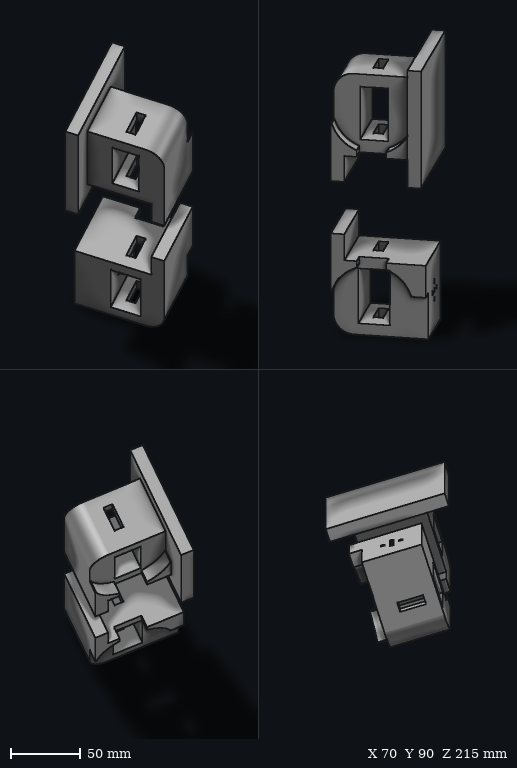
import cadquery as cq

total_height = 215.0
block_length = 70.0
body_width = 45.2
rear_layer = 9.9
block_width = body_width + rear_layer
block_height = 60.0
lip_thickness = 10.0
lip_height = 20.0
corner_radius = 15.0

plate_width = 90.0
plate_height = 89.9
plate_thickness = 10.0
plate_overhang = (plate_width - block_width) / 2
plate_rise = 15.0

recess_x = 40.0
recess_radius = 30.7
recess_axis_depth = 33.8
neck_width = 21.7
rear_layer_height = 24.5

window_x = recess_x
upper_window_length = 20.6
upper_window_height = 40.5
upper_window_offset = 9.7
lower_window_length = 23.2
lower_window_height = 42.1
lower_window_offset = 8.8

slot_length = 7.0
slot_width = 19.5
slot_y = 20.0

hole_diameter = 3.0
hole_spacing = 6.9
hole_y = 22.5
hole_z = 30.0


def make_keyhole_recess():
    """Cutter for the rear layer, in the position of the lower block."""
    axis_z = block_height - recess_axis_depth
    round_part = (
        cq.Workplane("XZ", origin=(recess_x, block_width, axis_z))
        .circle(recess_radius)
        .extrude(rear_layer)
    )
    neck = (
        cq.Workplane("XY")
        .box(neck_width, rear_layer, recess_axis_depth, centered=False)
        .translate((recess_x - neck_width / 2, body_width, axis_z))
    )
    open_stretch = (
        cq.Workplane("XY")
        .box(block_length, rear_layer, block_height - rear_layer_height, centered=False)
        .translate((0, body_width, 0))
    )
    return round_part.union(neck).union(open_stretch)


def make_block():
    """Lower block with its lip, recess and slot; the outer face is at Z = 0."""
    block = cq.Workplane("XY").box(block_length, block_width, block_height, centered=False)
    lip = (
        cq.Workplane("XY")
        .box(lip_thickness, block_width, block_height + lip_height, centered=False)
        .translate((block_length - lip_thickness, 0, 0))
    )
    block = block.union(lip).edges("|Y and >X and <Z").fillet(corner_radius)
    slot = (
        cq.Workplane("XY")
        .center(window_x, slot_y)
        .rect(slot_length, slot_width)
        .extrude(block_height)
    )
    return block.cut(make_keyhole_recess()).cut(slot)


def make_window(length, height, offset):
    """Rectangular cutter through the full block width."""
    return (
        cq.Workplane("XY")
        .box(length, block_width, height, centered=False)
        .translate((window_x - length / 2, 0, offset))
    )


def make_wall_holes():
    """Cutters running from the -X face into the lower window."""
    spots = [(0, 0), (hole_spacing, 0), (-hole_spacing, 0), (0, hole_spacing), (0, -hole_spacing)]
    return (
        cq.Workplane("YZ", origin=(0, hole_y, hole_z))
        .pushPoints(spots)
        .circle(hole_diameter / 2)
        .extrude(window_x)
    )


def make_lower_body():
    window = make_window(lower_window_length, lower_window_height, lower_window_offset)
    return make_block().cut(window).cut(make_wall_holes())


def make_upper_body():
    window = make_window(upper_window_length, upper_window_height, upper_window_offset)
    block = make_block().cut(window).mirror("XY").translate((0, 0, total_height - plate_rise))
    plate = (
        cq.Workplane("XY")
        .box(plate_thickness, plate_width, plate_height, centered=False)
        .translate((0, -plate_overhang, total_height - plate_height))
    )
    return block.union(plate)


lower_body = make_lower_body()
upper_body = make_upper_body()

result = cq.Compound.makeCompound([lower_body.val(), upper_body.val()])